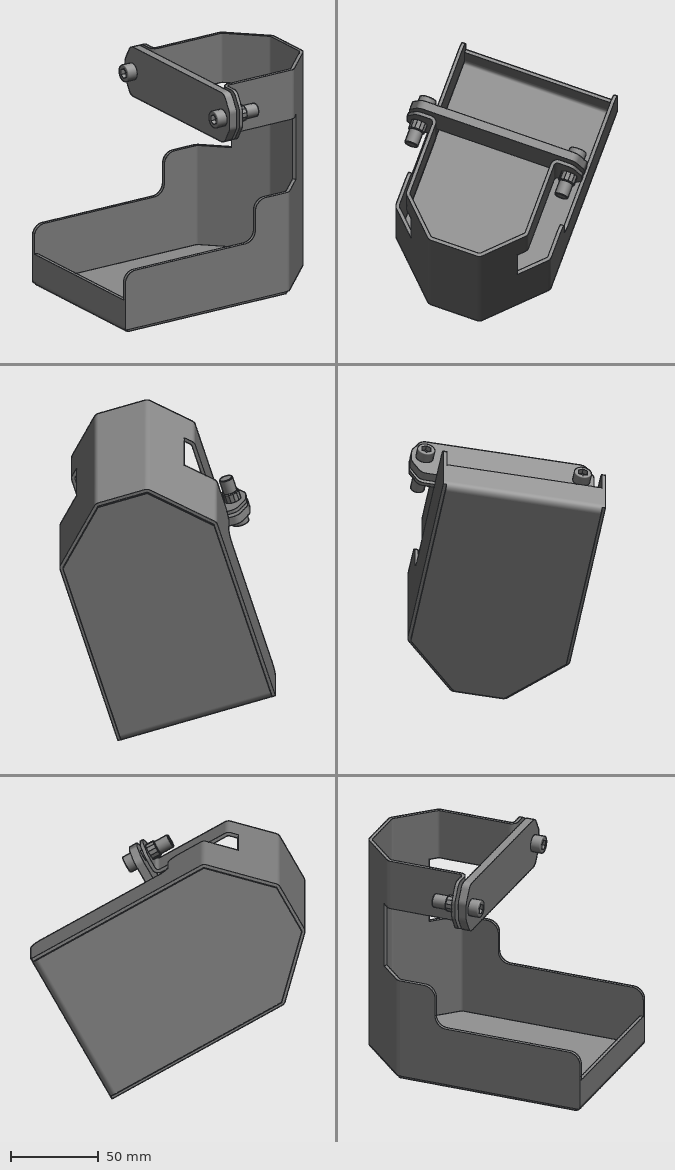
import cadquery as cq
import math


sheet = 2.0
inner_bend = 2.0
outer_bend = inner_bend + sheet

depth = 145.0
height = 132.0
tray_width = 94.2
band_width = 74.0
back_width = 31.0
half_turn = math.radians(45) / 2

wall_top = 62.5
step_y = 90.0
step_z = 37.3
wall_corner = 7.0
lip_height = 20.0
floor_inset = 1.9

bar_length = 106.0
bar_height = 30.0
bar_thick = 5.0
bar_back = 73.1
bar_flat_end = 10.5
bar_corner = 5.0
bar_slope = math.radians(60)
ear_front = 75.1
ear_back = ear_front + sheet
bar_front = bar_back - bar_thick
band_bottom = height - bar_height
bar_z = height - bar_height / 2

column_width = 64.7

screw_x = 45.5
head_diameter = 10.0
head_height = 6.1
head_round = 0.6
socket_sides = 6
socket_corners = 6.0
socket_depth = 2.9
socket_turn = 30.0
drill_point = 1.5
shank_diameter = 6.5
nut_sides = 12
nut_diameter = 9.7
nut_length = 5.5
nut_turn = 12.0
nut_chamfer = 0.6
sleeve_diameter = 8.0
sleeve_end = 91.0
sleeve_chamfer = 0.5

overshoot = 7.2


def plan_block(width, inset, z_low, z_high):
    """Block with the plan outline of a bent wall: flat back, two 45 degree sides, two straight sides."""
    half = width / 2 - inset
    back_y = depth - inset
    back_half = back_width / 2 - inset * math.tan(half_turn)
    slant_y = back_y - (half - back_half)
    right_side = [(half, -overshoot), (half, slant_y), (back_half, back_y)]
    left_side = [(-x, y) for x, y in reversed(right_side)]
    return (
        cq.Workplane("XY", origin=(0, 0, z_low))
        .polyline(right_side + left_side)
        .close()
        .extrude(z_high - z_low)
    )


def bent_wall(width, z_low, z_high):
    outside = plan_block(width, 0, z_low, z_high).edges("|Z").fillet(outer_bend)
    inside = plan_block(width, sheet, z_low, z_high).edges("|Z").fillet(inner_bend)
    return outside.cut(inside)


def across_x(outline, width):
    """Extrude a closed (Y, Z) outline symmetrically along X."""
    return cq.Workplane("YZ").polyline(outline).close().extrude(width / 2, both=True)


def tray_walls():
    side = [(0, 0), (depth, 0), (depth, wall_top), (step_y, wall_top), (step_y, step_z), (0, step_z)]
    profile = across_x(side, tray_width)
    for y, z, radius in (
        (step_y, wall_top, wall_corner),
        (step_y, step_z, wall_corner),
        (0, step_z, wall_corner),
        (0, 0, outer_bend),
    ):
        profile = profile.edges(cq.selectors.NearestToPointSelector((0, y, z))).fillet(radius)
    return bent_wall(tray_width, sheet, wall_top).intersect(profile)


def floor_and_lip():
    section = [(0, 0), (depth, 0), (depth, sheet), (sheet, sheet), (sheet, lip_height), (0, lip_height)]
    folded = across_x(section, tray_width)
    for corner, radius in ((0, outer_bend), (sheet, inner_bend)):
        bend_edge = cq.selectors.NearestToPointSelector((0, corner, corner))
        folded = folded.edges(bend_edge).fillet(radius)
    return folded.intersect(plan_block(tray_width, floor_inset, 0, lip_height))


def column():
    """Back wall whose slanted sides end square to the sheet."""
    edge_x = column_width / 2
    edge_y = depth - (edge_x - back_width / 2)
    apex_y = edge_y - edge_x
    spread = depth - apex_y
    keep = (
        cq.Workplane("XY")
        .polyline([(0, apex_y), (spread, depth), (-spread, depth)])
        .close()
        .extrude(height)
    )
    return bent_wall(tray_width, sheet, height).intersect(keep)


def bar_plate(y_front, y_back):
    """Plate with the bar's outline: straight ends, sloping rounded corners."""
    half_length = bar_length / 2
    half_height = bar_height / 2
    half_flat = bar_flat_end / 2
    slope_run = (half_height - half_flat) / math.tan(bar_slope)
    upper = [
        (half_length, half_flat),
        (half_length - slope_run, half_height),
        (slope_run - half_length, half_height),
        (-half_length, half_flat),
    ]
    lower = [(x, -z) for x, z in reversed(upper)]
    return (
        cq.Workplane("XZ", origin=(0, y_back, bar_z))
        .polyline(upper + lower)
        .close()
        .extrude(y_back - y_front)
        .edges("|Y")
        .fillet(bar_corner)
    )


def ear():
    """Right-hand ear: the side of the band bent outwards, with the end outline of the bar."""
    outer_x = band_width / 2
    inner_x = outer_x - sheet
    root_y = ear_front + outer_bend + overshoot
    plan = [
        (inner_x, ear_front),
        (bar_length / 2, ear_front),
        (bar_length / 2, ear_back),
        (outer_x, ear_back),
        (outer_x, root_y),
        (inner_x, root_y),
    ]
    bent = cq.Workplane("XY", origin=(0, 0, band_bottom)).polyline(plan).close().extrude(bar_height)
    for corner, radius in ((plan[0], outer_bend), (plan[3], inner_bend)):
        bend_edge = cq.selectors.NearestToPointSelector((*corner, bar_z))
        bent = bent.edges(bend_edge).fillet(radius)
    return bent.intersect(bar_plate(ear_front, root_y))


def band():
    sides = bent_wall(band_width, band_bottom, height)
    waste_length = ear_front + outer_bend + overshoot
    front_waste = (
        cq.Workplane("XY")
        .box(bar_length, waste_length, height, centered=(True, False, False))
        .translate((0, -overshoot, 0))
    )
    return sides.cut(front_waste).union(ear()).union(ear().mirror("YZ"))


def along_screw(y):
    """Workplane on the right-hand screw axis, facing the back of the part."""
    return cq.Workplane(cq.Plane(origin=(screw_x, y, bar_z), xDir=(1, 0, 0), normal=(0, 1, 0)))


def screw_and_nut():
    head_front = bar_front - head_height
    head = (
        along_screw(head_front)
        .circle(head_diameter / 2)
        .extrude(head_height)
        .faces("<Y")
        .edges()
        .fillet(head_round)
    )
    shank = along_screw(bar_front).circle(shank_diameter / 2).extrude(ear_back - bar_front)
    nut = (
        along_screw(ear_back)
        .transformed(rotate=(0, 0, nut_turn))
        .polygon(nut_sides, nut_diameter)
        .extrude(nut_length)
        .faces(">Y")
        .chamfer(nut_chamfer)
    )
    sleeve = (
        along_screw(ear_back)
        .circle(sleeve_diameter / 2)
        .extrude(sleeve_end - ear_back)
        .faces(">Y")
        .chamfer(sleeve_chamfer)
    )
    drill = cq.Workplane(
        cq.Solid.makeCone(
            socket_corners / 2,
            0,
            drill_point,
            cq.Vector(screw_x, head_front + socket_depth, bar_z),
            cq.Vector(0, 1, 0),
        )
    ).union(along_screw(head_front).circle(socket_corners / 2).extrude(socket_depth))
    socket = (
        along_screw(head_front)
        .transformed(rotate=(0, 0, socket_turn))
        .polygon(socket_sides, socket_corners)
        .extrude(socket_depth + drill_point)
        .intersect(drill)
    )
    return head.union(shank).union(nut).union(sleeve).cut(socket)


tray = tray_walls().union(floor_and_lip())
holder = tray.union(column()).union(band())
clamp = bar_plate(bar_front, bar_back).union(screw_and_nut()).union(screw_and_nut().mirror("YZ"))
result = holder.union(clamp)